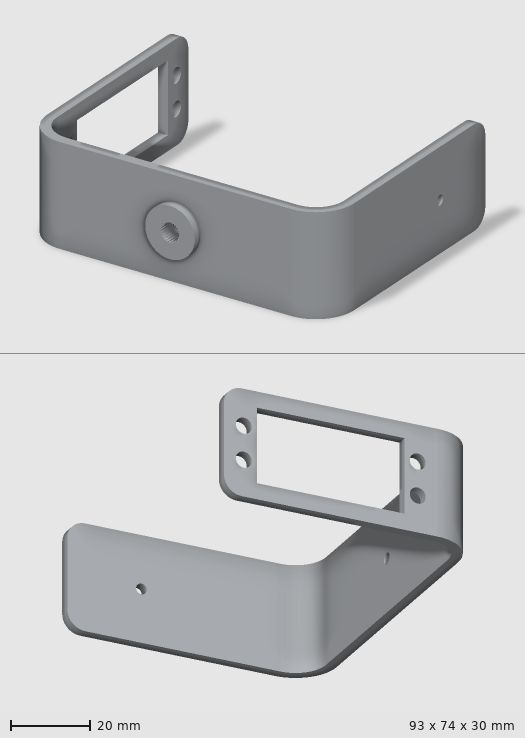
import cadquery as cq

width = 93.0
height = 30.0
arm_reach = 71.5
wall = 3.0
bend_radius = 11.5
tip_radius = 5.0

window_length = 41.5
window_height = 21.0
window_offset = 30.0
screw_diameter = 4.5
screw_pitch_y = 48.9
screw_pitch_z = 9.5

pivot_diameter = 3.0
pivot_offset = 20.8

hub_diameter = 15.0
hub_height = 2.5
bore_diameter = 3.2
spline_outer_diameter = 5.9
spline_tip_diameter = 5.4
tooth_width = 0.4
spline_depth = 3.7
spline_teeth = 24

base_y = hub_height
tip_y = base_y + arm_reach


def rounded_block(block_width, front_y, radius):
    """Block from front_y to the arm tips with its two front upright edges rounded."""
    length = tip_y - front_y
    block = cq.Workplane("XY").box(block_width, length, height)
    return block.edges("|Z and <Y").fillet(radius).translate((0, front_y + length / 2, 0))


def make_bracket():
    outside = rounded_block(width, base_y, bend_radius)
    inside = rounded_block(width - 2 * wall, base_y + wall, bend_radius - wall)
    bracket = outside.cut(inside)
    return bracket.edges("|X and >Y").fillet(tip_radius)


def arm_plane(side, y):
    """Plane on an arm's outer face, side -1 or +1, looking into the arm."""
    return cq.Workplane(cq.Plane((side * width / 2, y, 0), xDir=(0, 1, 0), normal=(-side, 0, 0)))


def make_servo_cuts():
    window_y = tip_y - window_offset
    window = arm_plane(-1, window_y).rect(window_length, window_height).extrude(wall)
    screws = (
        arm_plane(-1, window_y)
        .rect(screw_pitch_y, screw_pitch_z, forConstruction=True)
        .vertices()
        .circle(screw_diameter / 2)
        .extrude(wall)
    )
    return window.union(screws)


def make_pivot_hole():
    return arm_plane(1, tip_y - pivot_offset).circle(pivot_diameter / 2).extrude(wall)


def hub_plane():
    """Plane on the hub face, looking into the base."""
    return cq.Workplane(cq.Plane((0, 0, 0), xDir=(1, 0, 0), normal=(0, 1, 0)))


def make_spline():
    """Recess in the hub with square teeth pointing inwards, one tooth centred on +X."""
    recess = hub_plane().circle(spline_outer_diameter / 2).extrude(spline_depth)
    tooth_length = (spline_outer_diameter - spline_tip_diameter) / 2
    tooth = (
        hub_plane()
        .center(spline_tip_diameter / 2 + tooth_length, 0)
        .rect(2 * tooth_length, tooth_width)
        .extrude(spline_depth)
    )
    for i in range(spline_teeth):
        recess = recess.cut(tooth.rotate((0, 0, 0), (0, 1, 0), i * 360 / spline_teeth))
    return recess


hub = hub_plane().circle(hub_diameter / 2).extrude(hub_height)
bore = hub_plane().circle(bore_diameter / 2).extrude(hub_height + wall)

result = (
    make_bracket()
    .union(hub)
    .cut(make_servo_cuts())
    .cut(make_pivot_hole())
    .cut(make_spline())
    .cut(bore)
)